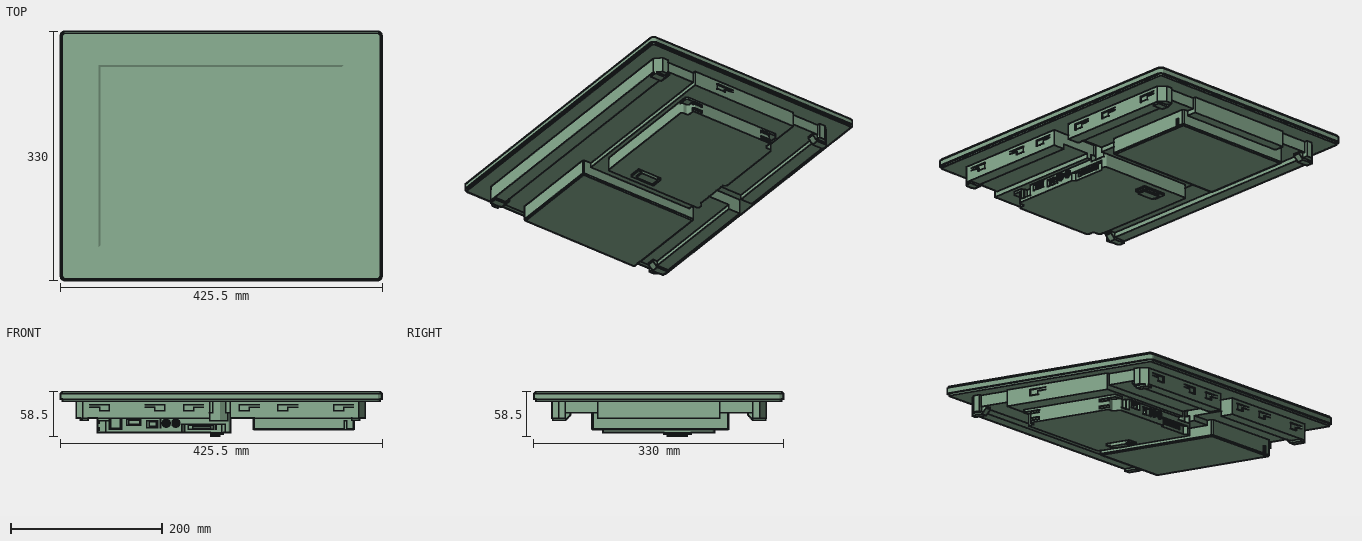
import cadquery as cq


LENGTH = 425.5
WIDTH = 330.0
HEIGHT = 58.5

BEZEL_DEPTH = 9.8
GASKET_DEPTH = 12.8
SLAB_DEPTH = 28.0
WALL_DEPTH = 35.0
FOOT_DEPTH = 38.0
FLANGE_DEPTH = 38.3
COVER_DEPTH = 50.5
MODULE_DEPTH = 54.0
LATCH_BASE_DEPTH = 56.5

BEZEL_CORNER = 6.5
BEZEL_CHAMFER = 2.5
GASKET_INSET = 2.5
SCREEN_LENGTH = 324.0
SCREEN_WIDTH = 240.8
SCREEN_RIM = 2.5
SCREEN_RECESS = 0.5

HOUSING_X = (-192.0, 190.5)
HOUSING_Y = (-141.2, 142.5)
HOUSING_CORNER = 9.0
RAIL_WIDTH = 18.0
SIDE_RECESS = 4.3
CENTRE_HALF_WIDTH = 80.5
FOOT_LENGTH = 10.0
FOOT_STARTS_X = (-186.5, 172.5)
FOOT_INSET_Y = 1.0
FOOT_SLOPE_RUN = 7.0
FOOT_SLOPE_TOP = 30.5

CATCH_TOP = 17.5
CATCH_HEIGHT = 8.0
CATCH_LENGTH = 13.0
CATCH_DEPTH = 2.0
TAIL_HEIGHT = 3.5
TAIL_LENGTH = 12.8
CATCHES_TAIL_LEFT = (-154.5, -81.3)
CATCHES_TAIL_RIGHT = (-43.0, 30.5, 81.5, 155.3)
SIDE_CATCH_Y = 37.5

MODULE_X = (-163.8, 12.5)
MODULE_HALF_WIDTH = 74.0
MODULE_ROUND = 3.2
NOTCH = 11.0
VENT_END_Y = 48.5
VENT_TOPS = (38.3, 47.5)
VENT_HEIGHT = 3.2
VENT_DEPTH = 2.0

CHANNEL_X = (-15.5, 12.0)
CHANNEL_END_Y = -68.5
NOSE_BASE_X = (-15.0, 9.0)
NOSE_BASE_Y = -65.5
NOSE_SHOULDER_X = (-7.2, 2.0)
NOSE_SHOULDER_Y = -72.0
NOSE_TIP_Y = -73.5

COVER_X = (42.0, 176.0)
COVER_Y = (-88.5, 92.7)
COVER_CHAMFER = 1.5
COVER_GROOVE_X = 163.0
COVER_GROOVE_WIDTH = 3.5
COVER_GROOVE_DEPTH = 1.3

SHELL_DEPTH = 4.3
CORE_DEPTH = 8.5
NETWORK_SHELL_X = (-148.0, -131.5)
NETWORK_SHELL_DEPTHS = (WALL_DEPTH, 49.5)
NETWORK_CORE_X = (-146.0, -133.5)
NETWORK_CORE_DEPTHS = (WALL_DEPTH, 48.0)
USB_SHELL_X = (-125.0, -106.5)
USB_SHELL_DEPTHS = (36.0, 44.5)
USB_CORE_X = (-122.5, -108.0)
USB_CORE_DEPTHS = (37.5, 43.0)
PRINTER_SHELL_X = (-98.3, -84.2)
PRINTER_SHELL_DEPTHS = (38.3, 47.5)
PRINTER_CORE_X = (-95.5, -86.0)
PRINTER_CORE_DEPTHS = (40.0, 46.0)
JACK_X = (-72.7, -60.0)
JACK_Z = -41.5
JACK_RADIUS = 5.0
JACK_CORE_RADIUS = 3.5
JACK_HOLE_RADIUS = 1.3
JACK_DEPTH = 4.3
SLIT_X = (-81.0, -80.0)
SLIT_DEPTHS = (WALL_DEPTH, 47.5)
SLIT_DEPTH = 1.3

CARD_X = (-52.0, 5.5)
CARD_TOP = 43.0
CARD_DEPTH = 4.3
CARD_SLOPE_LEFT = 3.5
CARD_SLOPE_RIGHT = 4.5
CARD_SOCKET_X = (-43.5, -10.5)
CARD_SOCKET_DEPTHS = (44.5, 49.5)
CARD_TONGUE_X = (-37.5, -14.0)
CARD_TONGUE_DEPTHS = (46.0, 48.0)
CARD_KEY_X = (-7.5, -7.0)
CARD_KEY_BOTTOM = 49.5

LATCH_X = (-14.0, 3.0)
LATCH_Y = (7.0, 43.0)
LATCH_GRIP_X = (-14.0, -1.5)
LATCH_GRIP_Y = (11.5, 38.0)


def block(x, y, depth):
    """A box over the given X, Y spans, between two depths below the front face."""
    top, bottom = depth
    return (
        cq.Workplane("XY", origin=(0, 0, -bottom))
        .moveTo((x[0] + x[1]) / 2, (y[0] + y[1]) / 2)
        .rect(x[1] - x[0], y[1] - y[0])
        .extrude(bottom - top)
    )


def make_bezel():
    bezel = (
        cq.Workplane("XY")
        .rect(LENGTH, WIDTH)
        .extrude(-BEZEL_DEPTH)
        .edges("|Z")
        .fillet(BEZEL_CORNER)
        .faces(">Z")
        .edges()
        .chamfer(BEZEL_CHAMFER)
    )
    gasket = (
        cq.Workplane("XY", origin=(0, 0, -BEZEL_DEPTH))
        .rect(LENGTH - 2 * GASKET_INSET, WIDTH - 2 * GASKET_INSET)
        .extrude(BEZEL_DEPTH - GASKET_DEPTH)
        .edges("|Z")
        .fillet(BEZEL_CORNER - GASKET_INSET)
    )
    screen = (
        cq.Workplane("XY")
        .rect(SCREEN_LENGTH, SCREEN_WIDTH)
        .workplane(offset=-SCREEN_RECESS)
        .rect(SCREEN_LENGTH - 2 * SCREEN_RIM, SCREEN_WIDTH - 2 * SCREEN_RIM)
        .loft(ruled=True)
    )
    return bezel.union(gasket).cut(screen)


def make_foot(x_start, outer_y, inward):
    """Foot under a rail, sloping up to the slab on its inner side (`inward` is +1 or -1 in Y)."""
    outer = outer_y + inward * FOOT_INSET_Y
    inner = outer_y + inward * RAIL_WIDTH
    slope_end = inner + inward * FOOT_SLOPE_RUN
    return (
        cq.Workplane("YZ", origin=(x_start, 0, 0))
        .polyline(
            [
                (outer, -SLAB_DEPTH),
                (outer, -FOOT_DEPTH),
                (inner, -FOOT_DEPTH),
                (slope_end, -FOOT_SLOPE_TOP),
                (slope_end, -SLAB_DEPTH),
            ]
        )
        .close()
        .extrude(FOOT_LENGTH)
    )


def make_housing():
    front, back = HOUSING_Y
    left, right = HOUSING_X
    below_gasket = (GASKET_DEPTH, WALL_DEPTH)
    envelope = block(HOUSING_X, HOUSING_Y, (GASKET_DEPTH, FOOT_DEPTH)).edges("|Z").chamfer(HOUSING_CORNER)

    recessed_x = (left + SIDE_RECESS, right - SIDE_RECESS)
    housing = block(recessed_x, HOUSING_Y, (GASKET_DEPTH, SLAB_DEPTH))
    housing = housing.union(block(HOUSING_X, (front, front + RAIL_WIDTH), below_gasket))
    housing = housing.union(block(HOUSING_X, (back - RAIL_WIDTH, back), below_gasket))
    centre_y = (-CENTRE_HALF_WIDTH, CENTRE_HALF_WIDTH)
    housing = housing.union(block(HOUSING_X, centre_y, below_gasket))
    for x_start in FOOT_STARTS_X:
        housing = housing.union(make_foot(x_start, front, 1))
        housing = housing.union(make_foot(x_start, back, -1))
    return housing.intersect(envelope)


def make_catch(tail_direction):
    """Catch slot cut into a front wall at Y = 0, with a tail ramping out to the wall face."""
    half = CATCH_LENGTH / 2
    pocket = block((-half, half), (0, CATCH_DEPTH), (CATCH_TOP, CATCH_TOP + CATCH_HEIGHT))
    tail = (
        cq.Workplane("XY", origin=(0, 0, -CATCH_TOP - TAIL_HEIGHT))
        .polyline(
            [
                (0, 0),
                (tail_direction * (half + TAIL_LENGTH), 0),
                (tail_direction * half, CATCH_DEPTH),
                (0, CATCH_DEPTH),
            ]
        )
        .close()
        .extrude(TAIL_HEIGHT)
    )
    return pocket.union(tail)


def make_catches():
    front = HOUSING_Y[0]
    side_catch = make_catch(1).rotate((0, 0, 0), (0, 0, 1), -90)
    catches = side_catch.translate((HOUSING_X[0], SIDE_CATCH_Y, 0))
    for x in CATCHES_TAIL_LEFT:
        catches = catches.union(make_catch(-1).translate((x, front, 0)))
    for x in CATCHES_TAIL_RIGHT:
        catches = catches.union(make_catch(1).translate((x, front, 0)))
    return catches


def make_corner_notch():
    """Square notch for the front left corner, all of its edges rounded, at the module's origin corner."""
    r = MODULE_ROUND
    mid = r * (1 - 0.5**0.5)
    return (
        cq.Workplane("XY", origin=(MODULE_X[0], -MODULE_HALF_WIDTH, -MODULE_DEPTH))
        .moveTo(0, 0)
        .lineTo(NOTCH + r, 0)
        .threePointArc((NOTCH + mid, mid), (NOTCH, r))
        .lineTo(NOTCH, NOTCH - r)
        .threePointArc((NOTCH - mid, NOTCH - mid), (NOTCH - r, NOTCH))
        .lineTo(r, NOTCH)
        .threePointArc((mid, NOTCH + mid), (0, NOTCH + r))
        .close()
        .extrude(MODULE_DEPTH - FLANGE_DEPTH)
    )


def make_module():
    left = MODULE_X[0]
    module_y = (-MODULE_HALF_WIDTH, MODULE_HALF_WIDTH)
    module = block(MODULE_X, module_y, (SLAB_DEPTH, MODULE_DEPTH)).edges("|Z").fillet(MODULE_ROUND)
    notch = make_corner_notch()
    module = module.cut(notch).cut(notch.mirror("XZ"))

    for top in VENT_TOPS:
        vent = block(
            (left, left + VENT_DEPTH),
            (VENT_END_Y, MODULE_HALF_WIDTH - NOTCH),
            (top, top + VENT_HEIGHT),
        )
        module = module.cut(vent).cut(vent.mirror("XZ"))
    return module


def make_connector(x, depth, pocket_depth):
    """Rectangular opening reaching `pocket_depth` into the module's front face."""
    front = -MODULE_HALF_WIDTH
    return block(x, (front, front + pocket_depth), depth)


def make_connectors():
    """Each opening is a shallow shell with a deeper core inside it."""
    network = make_connector(NETWORK_SHELL_X, NETWORK_SHELL_DEPTHS, SHELL_DEPTH)
    network_core = make_connector(NETWORK_CORE_X, NETWORK_CORE_DEPTHS, CORE_DEPTH)
    usb = make_connector(USB_SHELL_X, USB_SHELL_DEPTHS, SHELL_DEPTH)
    usb_core = make_connector(USB_CORE_X, USB_CORE_DEPTHS, CORE_DEPTH)
    printer = make_connector(PRINTER_SHELL_X, PRINTER_SHELL_DEPTHS, SHELL_DEPTH)
    printer_core = make_connector(PRINTER_CORE_X, PRINTER_CORE_DEPTHS, CORE_DEPTH)
    openings = network.union(network_core).union(usb).union(usb_core).union(printer).union(printer_core)

    slit = make_connector(SLIT_X, SLIT_DEPTHS, SLIT_DEPTH)
    return openings.union(slit).union(make_jacks())


def make_jacks():
    """Ring-shaped openings, each round a core with a hole in its middle."""
    face = cq.Workplane("XZ", origin=(0, -MODULE_HALF_WIDTH, 0)).pushPoints([(x, JACK_Z) for x in JACK_X])
    sockets = face.circle(JACK_RADIUS).extrude(-JACK_DEPTH)
    cores = face.circle(JACK_CORE_RADIUS).extrude(-JACK_DEPTH)
    holes = face.circle(JACK_HOLE_RADIUS).extrude(-JACK_DEPTH)
    return sockets.cut(cores).union(holes)


def make_card_recess():
    left, right = CARD_X
    front = -MODULE_HALF_WIDTH
    back = front + CARD_DEPTH
    recess = (
        cq.Workplane("XY", origin=(0, 0, -MODULE_DEPTH))
        .polyline(
            [
                (left, front),
                (right, front),
                (right - CARD_SLOPE_RIGHT, back),
                (left + CARD_SLOPE_LEFT, back),
            ]
        )
        .close()
        .extrude(MODULE_DEPTH - CARD_TOP)
    )
    socket_y = (back, back + SHELL_DEPTH)
    socket = block(CARD_SOCKET_X, socket_y, CARD_SOCKET_DEPTHS)
    tongue = block(CARD_TONGUE_X, socket_y, CARD_TONGUE_DEPTHS)
    key = block(CARD_KEY_X, (back, back + SLIT_DEPTH), (CARD_TOP, CARD_KEY_BOTTOM))
    return recess.union(socket.cut(tongue)).union(key)


def make_channel():
    """The gaps in the housing and in the module; below the slab the housing is open as far as the nose."""
    front = HOUSING_Y[0]
    slab_gap = block(CHANNEL_X, (front, CHANNEL_END_Y), (GASKET_DEPTH, SLAB_DEPTH))
    wall_gap = block(CHANNEL_X, (front, NOSE_BASE_Y), (SLAB_DEPTH, WALL_DEPTH))
    module_gap = block(NOSE_BASE_X, (-MODULE_HALF_WIDTH, NOSE_BASE_Y), (SLAB_DEPTH, FLANGE_DEPTH))
    return slab_gap.union(wall_gap), module_gap


def make_nose():
    return (
        cq.Workplane("XY", origin=(0, 0, -FLANGE_DEPTH))
        .moveTo(NOSE_BASE_X[0], NOSE_BASE_Y)
        .lineTo(NOSE_SHOULDER_X[0], NOSE_SHOULDER_Y)
        .threePointArc((sum(NOSE_SHOULDER_X) / 2, NOSE_TIP_Y), (NOSE_SHOULDER_X[1], NOSE_SHOULDER_Y))
        .lineTo(NOSE_BASE_X[1], NOSE_BASE_Y)
        .close()
        .extrude(FLANGE_DEPTH - GASKET_DEPTH)
    )


def make_cover():
    cover = block(COVER_X, COVER_Y, (SLAB_DEPTH, COVER_DEPTH))
    cover = cover.edges("|Z or <Z").chamfer(COVER_CHAMFER)
    groove = block(
        (COVER_GROOVE_X, COVER_GROOVE_X + COVER_GROOVE_WIDTH),
        (COVER_Y[0], COVER_Y[0] + COVER_GROOVE_DEPTH),
        (FLANGE_DEPTH, COVER_DEPTH),
    )
    return cover.cut(groove)


def make_latch():
    base = block(LATCH_X, LATCH_Y, (MODULE_DEPTH, LATCH_BASE_DEPTH))
    grip = block(LATCH_GRIP_X, LATCH_GRIP_Y, (MODULE_DEPTH, HEIGHT))
    return base.union(grip)


housing_gap, module_gap = make_channel()
module = make_module().cut(make_connectors()).cut(make_card_recess()).cut(module_gap)
housing = make_housing().cut(make_catches()).cut(housing_gap)
result = (
    make_bezel()
    .union(housing)
    .union(module)
    .union(make_nose())
    .union(make_cover())
    .union(make_latch())
)